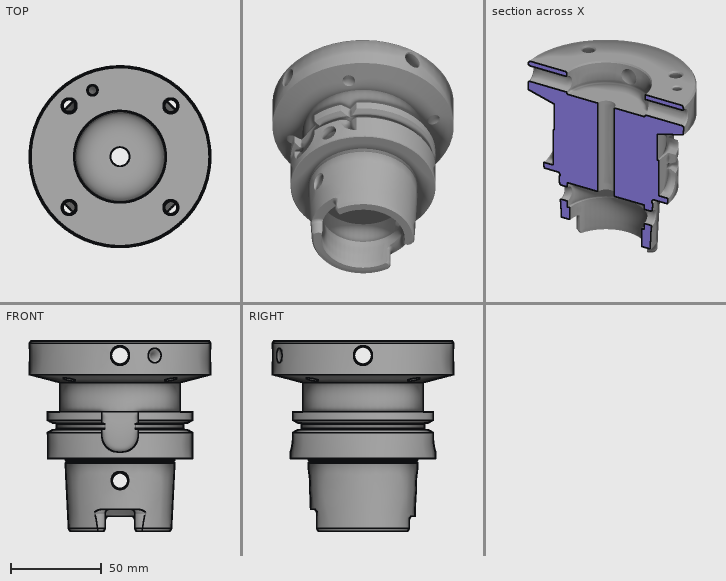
import cadquery as cq
import math


HEAD_TOP = 65.0
HEAD_RADIUS = 50.0
HEAD_RIM_Z = 46.5
HEAD_CHAMFER_WIDTH = 0.9
HEAD_CHAMFER_HEIGHT = 1.2
NECK_RADIUS = 33.3
NECK_TOP = 42.1

FLANGE_RADIUS = 40.0
FLANGE_TOP = 26.0
FLANGE_CHAMFER = 0.4
GROOVE_CENTER_Z = 17.95
GROOVE_WIDTH = 3.5
GROOVE_RADIUS = 35.0
GROOVE_BEVEL_RADIUS = 37.0
GROOVE_BEVEL_ANGLE = 30.0
GROOVE_BEVEL_HEIGHT = (FLANGE_RADIUS - GROOVE_BEVEL_RADIUS) * math.tan(math.radians(GROOVE_BEVEL_ANGLE))
GROOVE_FILLET = 0.6

SHANK_BOTTOM = -39.9
TAPER_TOP_Z = -2.4
TAPER_TOP_RADIUS = 30.2
TAPER_RATIO = 1 / 9.98
TAPER_END_Z = -38.3
TAPER_END_RADIUS = TAPER_TOP_RADIUS - TAPER_RATIO * (TAPER_TOP_Z - TAPER_END_Z) / 2
TIP_CHAMFER_WIDTH = 1.0
TIP_CHAMFER_HEIGHT = TAPER_END_Z - SHANK_BOTTOM
SHANK_TIP_RADIUS = TAPER_END_RADIUS - TIP_CHAMFER_WIDTH
RELIEF_RADIUS = 29.7
RELIEF_START_Z = -0.4
RELIEF_TOP_Z = -1.0
RELIEF_BOTTOM_Z = -1.6
SHANK_BORE_RADIUS = 23.0
SHANK_BORE_TOP = -5.0
CLAMPING_RECESS_RADIUS = 24.6
CLAMPING_RECESS_BOTTOM = -20.0

RECESS_RADIUS = 25.0
RECESS_DEPTH = 14.0
RECESS_CHAMFER_WIDTH = 0.5
RECESS_CHAMFER_HEIGHT = 1.0
UNDERCUT_RADIUS = 25.2
UNDERCUT_HEIGHT = 2.2
RECESS_FLOOR_FILLET = 0.9
AXIAL_HOLE_DIAMETER = 10.4

SIDE_HOLE_Z = 57.0
SIDE_HOLE_DIAMETER = 9.5
SIDE_HOLE_MOUTH_DIAMETER = 10.8
BOLT_OFFSET = 28.0
BOLT_CIRCLE_RADIUS = BOLT_OFFSET * math.sqrt(2)
BOLT_HOLE_DIAMETER = 6.8
BOLT_HOLE_MOUTH_DIAMETER = 8.6
PIN_HOLE_DIAMETER = 5.0
PIN_HOLE_MOUTH_DIAMETER = 6.1
PIN_HOLE_DEPTH = 10.0
PIN_ANGLE = 112.5
BALANCE_PIT_RADIUS = 4.0
BALANCE_PIT_DEPTH = 3.9
BALANCE_ANGLE = PIN_ANGLE + 180
DRILL_POINT_ANGLE = 118.0
SIDE_MOUTH_ANGLE = 75.0
AXIAL_MOUTH_ANGLE = 90.0

CHIP_HOLE_DIAMETER = 9.2
CHIP_HOLE_DEPTH = 4.6
CHIP_HOLE_Z = 7.3
CHIP_HOLE_ANGLE = 118.0
SHANK_HOLE_Z = -12.0
SHANK_HOLE_DIAMETER = 8.6
SHANK_HOLE_MOUTH_DIAMETER = 10.1

KEYWAY_HALF_WIDTH = 10.0
KEYWAY_CORNER_RADIUS = 9.0
KEYWAY_FLOOR_Y = 34.0
KEYWAY_BOTTOM_Z = 3.8
NOTCH_OFFSET = 25.0
NOTCH_ARC_RADIUS = 9.0
NOTCH_ARC_Z = 13.3

SLOT_HALF_WIDTH = 8.0
SLOT_EDGE_RADIUS = 4.3
SLOT_EDGE_REACH = 28.85
SLOT_CORNER_RADIUS = 1.8
FRONT_SLOT_TOP = -27.8
BACK_SLOT_TOP = -31.6

CUT_MARGIN = 5.0


def turned_body():
    groove_top = GROOVE_CENTER_Z + GROOVE_WIDTH / 2
    groove_bottom = GROOVE_CENTER_Z - GROOVE_WIDTH / 2
    return (
        cq.Workplane("XZ")
        .moveTo(0, HEAD_TOP)
        .lineTo(HEAD_RADIUS - HEAD_CHAMFER_WIDTH, HEAD_TOP)
        .lineTo(HEAD_RADIUS, HEAD_TOP - HEAD_CHAMFER_HEIGHT)
        .lineTo(HEAD_RADIUS, HEAD_RIM_Z)
        .lineTo(NECK_RADIUS, NECK_TOP)
        .lineTo(NECK_RADIUS, FLANGE_TOP)
        .lineTo(FLANGE_RADIUS, FLANGE_TOP)
        .lineTo(FLANGE_RADIUS, groove_top + GROOVE_BEVEL_HEIGHT)
        .lineTo(GROOVE_BEVEL_RADIUS, groove_top)
        .lineTo(GROOVE_RADIUS + GROOVE_FILLET, groove_top)
        .radiusArc((GROOVE_RADIUS, groove_top - GROOVE_FILLET), -GROOVE_FILLET)
        .lineTo(GROOVE_RADIUS, groove_bottom + GROOVE_FILLET)
        .radiusArc((GROOVE_RADIUS + GROOVE_FILLET, groove_bottom), -GROOVE_FILLET)
        .lineTo(GROOVE_BEVEL_RADIUS, groove_bottom)
        .lineTo(FLANGE_RADIUS, groove_bottom - GROOVE_BEVEL_HEIGHT)
        .lineTo(FLANGE_RADIUS, FLANGE_CHAMFER)
        .lineTo(FLANGE_RADIUS - FLANGE_CHAMFER, 0)
        .lineTo(TAPER_TOP_RADIUS, 0)
        .lineTo(TAPER_TOP_RADIUS, RELIEF_START_Z)
        .lineTo(RELIEF_RADIUS, RELIEF_TOP_Z)
        .lineTo(RELIEF_RADIUS, RELIEF_BOTTOM_Z)
        .lineTo(TAPER_TOP_RADIUS, TAPER_TOP_Z)
        .lineTo(TAPER_END_RADIUS, TAPER_END_Z)
        .lineTo(SHANK_TIP_RADIUS, SHANK_BOTTOM)
        .lineTo(0, SHANK_BOTTOM)
        .close()
        .revolve(360, (0, 0), (0, 1))
    )


def cylinder_cut(radius, bottom, top):
    return cq.Workplane("XY").workplane(offset=bottom).circle(radius).extrude(top - bottom)


def recess():
    floor_z = HEAD_TOP - RECESS_DEPTH
    profile = (
        cq.Workplane("XZ")
        .moveTo(0, floor_z)
        .lineTo(UNDERCUT_RADIUS - RECESS_FLOOR_FILLET, floor_z)
        .radiusArc((UNDERCUT_RADIUS, floor_z + RECESS_FLOOR_FILLET), -RECESS_FLOOR_FILLET)
        .lineTo(UNDERCUT_RADIUS, floor_z + UNDERCUT_HEIGHT)
        .lineTo(RECESS_RADIUS, floor_z + UNDERCUT_HEIGHT)
        .lineTo(RECESS_RADIUS, HEAD_TOP - RECESS_CHAMFER_HEIGHT)
        .lineTo(RECESS_RADIUS + RECESS_CHAMFER_WIDTH, HEAD_TOP)
        .lineTo(0, HEAD_TOP)
        .close()
    )
    return profile.revolve(360, (0, 0), (0, 1))


def hole(diameter, depth, mouth_diameter, mouth_angle, pointed=False):
    """Hole along -X from the origin with a conical mouth and a flat or drill-pointed end."""
    radius = diameter / 2
    mouth_radius = mouth_diameter / 2
    mouth_depth = (mouth_radius - radius) / math.tan(math.radians(mouth_angle / 2))
    point_length = radius / math.tan(math.radians(DRILL_POINT_ANGLE / 2)) if pointed else 0
    return (
        cq.Workplane("XY")
        .moveTo(CUT_MARGIN, 0)
        .lineTo(CUT_MARGIN, mouth_radius)
        .lineTo(0, mouth_radius)
        .lineTo(-mouth_depth, radius)
        .lineTo(-depth, radius)
        .lineTo(-depth - point_length, 0)
        .close()
        .revolve(360, (0, 0), (1, 0))
    )


def plain_hole(diameter, depth):
    """Flat-ended hole along -X from the origin."""
    drill = cq.Workplane("YZ", origin=(-depth, 0, 0)).circle(diameter / 2)
    return drill.extrude(depth + CUT_MARGIN)


def balance_pit():
    """Cone that opens towards +X with its base radius reached at the origin."""
    slope = BALANCE_PIT_RADIUS / BALANCE_PIT_DEPTH
    return (
        cq.Workplane("XY")
        .moveTo(-BALANCE_PIT_DEPTH, 0)
        .lineTo(CUT_MARGIN, slope * (BALANCE_PIT_DEPTH + CUT_MARGIN))
        .lineTo(CUT_MARGIN, 0)
        .close()
        .revolve(360, (0, 0), (1, 0))
    )


def radial(drill, surface_radius, z, angle):
    return drill.translate((surface_radius, 0, z)).rotate((0, 0, 0), (0, 0, 1), angle)


def axial(drill, circle_radius, angle):
    upright = drill.rotate((0, 0, 0), (0, 1, 0), -90)
    return upright.translate((circle_radius, 0, HEAD_TOP)).rotate((0, 0, 0), (0, 0, 1), angle)


def keyway():
    """Keyway on the -Y side with rounded lower corners, open towards the top of the flange."""
    arc_z = KEYWAY_BOTTOM_Z + KEYWAY_CORNER_RADIUS
    flat_half_width = KEYWAY_HALF_WIDTH - KEYWAY_CORNER_RADIUS
    return (
        cq.Workplane("XZ", origin=(0, -KEYWAY_FLOOR_Y, 0))
        .moveTo(-KEYWAY_HALF_WIDTH, FLANGE_TOP)
        .lineTo(-KEYWAY_HALF_WIDTH, arc_z)
        .radiusArc((-flat_half_width, KEYWAY_BOTTOM_Z), -KEYWAY_CORNER_RADIUS)
        .lineTo(flat_half_width, KEYWAY_BOTTOM_Z)
        .radiusArc((KEYWAY_HALF_WIDTH, arc_z), -KEYWAY_CORNER_RADIUS)
        .lineTo(KEYWAY_HALF_WIDTH, FLANGE_TOP)
        .close()
        .extrude(FLANGE_RADIUS + CUT_MARGIN - KEYWAY_FLOOR_Y)
    )


def corner_notch():
    """Notch in the -X, +Y corner of the flange with one rounded lower corner."""
    outer_x = -NOTCH_OFFSET - NOTCH_ARC_RADIUS
    return (
        cq.Workplane("XZ", origin=(0, NOTCH_OFFSET, 0))
        .moveTo(-NOTCH_OFFSET, FLANGE_TOP)
        .lineTo(-NOTCH_OFFSET, NOTCH_ARC_Z)
        .radiusArc((outer_x, NOTCH_ARC_Z - NOTCH_ARC_RADIUS), NOTCH_ARC_RADIUS)
        .lineTo(outer_x, FLANGE_TOP)
        .close()
        .extrude(NOTCH_OFFSET - FLANGE_RADIUS)
    )


def slot_outline(z):
    """Plan shape of a slot in the -Y wall whose round edges run out along the shank surface."""
    edge_center_x = SLOT_HALF_WIDTH + SLOT_EDGE_RADIUS
    edge_center_distance = SLOT_EDGE_REACH - SLOT_EDGE_RADIUS
    edge_center_y = -math.sqrt(edge_center_distance**2 - edge_center_x**2)
    run_out_x = edge_center_x * SLOT_EDGE_REACH / edge_center_distance
    run_out_y = edge_center_y * SLOT_EDGE_REACH / edge_center_distance
    outer_scale = (TAPER_TOP_RADIUS + CUT_MARGIN) / SLOT_EDGE_REACH
    return (
        cq.Workplane("XY", origin=(0, 0, z))
        .moveTo(-SLOT_HALF_WIDTH, 0)
        .lineTo(-SLOT_HALF_WIDTH, edge_center_y)
        .radiusArc((-run_out_x, run_out_y), SLOT_EDGE_RADIUS)
        .lineTo(-run_out_x * outer_scale, run_out_y * outer_scale)
        .lineTo(run_out_x * outer_scale, run_out_y * outer_scale)
        .lineTo(run_out_x, run_out_y)
        .radiusArc((SLOT_HALF_WIDTH, edge_center_y), SLOT_EDGE_RADIUS)
        .lineTo(SLOT_HALF_WIDTH, 0)
        .close()
    )


def driving_slot(top):
    """Slot with rounded top corners that widens along the chamfered tip of the shank."""
    straight = slot_outline(SHANK_BOTTOM).extrude(top - SHANK_BOTTOM)
    straight = straight.faces(">Z").edges().fillet(SLOT_CORNER_RADIUS)
    flare_angle = math.degrees(math.atan(TIP_CHAMFER_WIDTH / TIP_CHAMFER_HEIGHT))
    widened_tip = slot_outline(TAPER_END_Z).extrude(-TIP_CHAMFER_HEIGHT, taper=-flare_angle)
    return straight.union(widened_tip)


def half_turn(shape):
    return shape.rotate((0, 0, 0), (0, 0, 1), 180)


body = turned_body()
body = body.cut(recess())
body = body.cut(cylinder_cut(SHANK_BORE_RADIUS, SHANK_BOTTOM, SHANK_BORE_TOP))
body = body.cut(cylinder_cut(CLAMPING_RECESS_RADIUS, CLAMPING_RECESS_BOTTOM, SHANK_BORE_TOP))
body = body.cut(cylinder_cut(AXIAL_HOLE_DIAMETER / 2, SHANK_BORE_TOP, HEAD_TOP - RECESS_DEPTH))

side_hole = hole(
    SIDE_HOLE_DIAMETER,
    HEAD_RADIUS - RECESS_RADIUS + CUT_MARGIN,
    SIDE_HOLE_MOUTH_DIAMETER,
    SIDE_MOUTH_ANGLE,
)
bolt_hole = hole(BOLT_HOLE_DIAMETER, HEAD_TOP - NECK_TOP, BOLT_HOLE_MOUTH_DIAMETER, AXIAL_MOUTH_ANGLE)
for quarter in range(4):
    body = body.cut(radial(side_hole, HEAD_RADIUS, SIDE_HOLE_Z, 90 * quarter))
    body = body.cut(axial(bolt_hole, BOLT_CIRCLE_RADIUS, 45 + 90 * quarter))

pin_hole = hole(
    PIN_HOLE_DIAMETER,
    PIN_HOLE_DEPTH,
    PIN_HOLE_MOUTH_DIAMETER,
    AXIAL_MOUTH_ANGLE,
    pointed=True,
)
body = body.cut(axial(pin_hole, BOLT_CIRCLE_RADIUS, PIN_ANGLE))
body = body.cut(radial(balance_pit(), HEAD_RADIUS, SIDE_HOLE_Z, BALANCE_ANGLE))

chip_hole = plain_hole(CHIP_HOLE_DIAMETER, CHIP_HOLE_DEPTH)
body = body.cut(radial(chip_hole, FLANGE_RADIUS, CHIP_HOLE_Z, CHIP_HOLE_ANGLE))
shank_hole = hole(
    SHANK_HOLE_DIAMETER,
    TAPER_TOP_RADIUS - SHANK_BORE_RADIUS + CUT_MARGIN,
    SHANK_HOLE_MOUTH_DIAMETER,
    SIDE_MOUTH_ANGLE,
)
shank_hole_radius = TAPER_TOP_RADIUS - TAPER_RATIO * (TAPER_TOP_Z - SHANK_HOLE_Z) / 2
for angle in (90, 270):
    body = body.cut(radial(shank_hole, shank_hole_radius, SHANK_HOLE_Z, angle))

body = body.cut(keyway()).cut(half_turn(keyway()))
body = body.cut(corner_notch())
body = body.cut(driving_slot(FRONT_SLOT_TOP))
body = body.cut(half_turn(driving_slot(BACK_SLOT_TOP)))

result = body